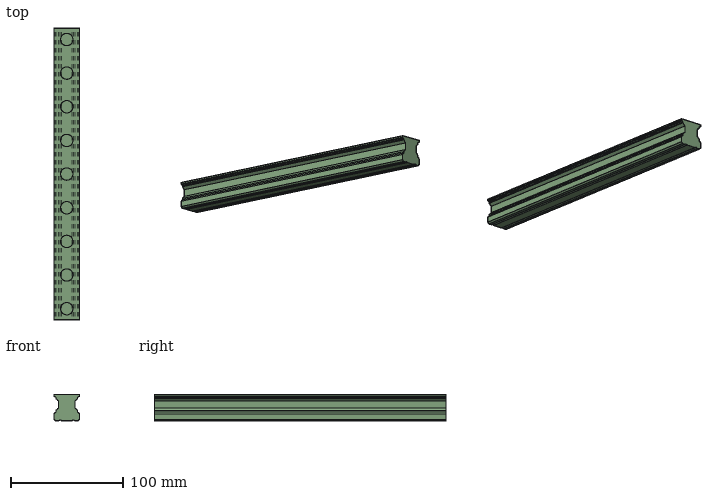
import cadquery as cq

rail_width = 23.0
rail_length = 260.0
rail_height = 23.6

half_width = rail_width / 2
shoulder_half_width = 9.75
waist_half_width = 7.4

flank_rise = shoulder_half_width - waist_half_width
foot_rise = half_width - shoulder_half_width

base_chamfer = 1.4
base_top = 6.2
lower_shoulder_bottom = base_top + foot_rise
waist_bottom = 11.5
lower_shoulder_top = waist_bottom - flank_rise
waist_top = 17.6
upper_shoulder_bottom = waist_top + flank_rise

head_bottom = 21.6
top_chamfer = 0.3
rim_chamfer = 0.4
inner_corner = 0.8

groove_offset = 5.9
groove_width = 2.6
groove_depth = 0.8

cap_diameter = 11.0
cap_recess = 0.1
hole_pitch = 30.0
hole_count = 9


def extrude_section(points):
    """Extrude a closed XZ outline over the full rail length, centred on Y = 0."""
    return cq.Workplane("XZ").polyline(points).close().extrude(rail_length / 2, both=True)


def rail_body():
    """Rail with a section that is symmetric about X = 0."""
    right_side = [
        (half_width - base_chamfer, 0),
        (half_width, base_chamfer),
        (half_width, base_top),
        (shoulder_half_width, lower_shoulder_bottom),
        (shoulder_half_width, lower_shoulder_top),
        (waist_half_width, waist_bottom),
        (waist_half_width, waist_top),
        (shoulder_half_width, upper_shoulder_bottom),
        (shoulder_half_width, head_bottom - inner_corner),
        (shoulder_half_width + inner_corner, head_bottom),
        (half_width - rim_chamfer, head_bottom),
        (half_width, head_bottom + rim_chamfer),
        (half_width, rail_height - top_chamfer),
        (half_width - top_chamfer, rail_height),
    ]
    left_side = [(-x, z) for x, z in reversed(right_side)]
    return extrude_section(right_side + left_side)


def underside_groove(centre):
    """V groove along the base at X = centre."""
    return extrude_section([
        (centre - groove_width / 2, 0),
        (centre, groove_depth),
        (centre + groove_width / 2, 0),
    ])


def cap_recesses():
    """Row of shallow round recesses in the top face."""
    return (
        cq.Workplane("XY", origin=(0, 0, rail_height - cap_recess))
        .rarray(1, hole_pitch, 1, hole_count)
        .circle(cap_diameter / 2)
        .extrude(cap_recess)
    )


result = rail_body().cut(cap_recesses())
for groove_centre in (-groove_offset, groove_offset):
    result = result.cut(underside_groove(groove_centre))